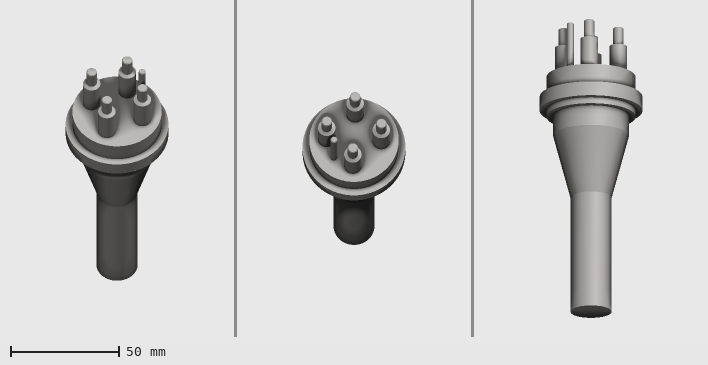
import cadquery as cq
import math

total_height = 137.1

cable_diameter = 19.0
barrel_diameter = 35.0
collar_diameter = 41.3
flange_diameter = 47.6

pin_length = 23.6
face_length = 9.5
flange_thickness = 6.7
collar_length = 2.9
barrel_length = 9.5
taper_length = 29.8

pin_circle_radius = 12.6
pin_count = 4
tip_diameter = 4.8
sleeve_diameter = 8.1
tip_length = 8.1
shoulder_height = 0.8
guide_diameter = 3.2
tip_chamfer = 0.4

face_z = total_height - pin_length
flange_top_z = face_z - face_length
flange_bottom_z = flange_top_z - flange_thickness
barrel_top_z = flange_bottom_z - collar_length
taper_top_z = barrel_top_z - barrel_length
cable_top_z = taper_top_z - taper_length


def revolve_profile(steps):
    """Revolve (diameter, height) steps around Z, closing the profile on the axis."""
    outline = [(diameter / 2, z) for diameter, z in steps]
    bottom_z = outline[0][1]
    top_z = outline[-1][1]
    points = [(0, bottom_z)] + outline + [(0, top_z)]
    return cq.Workplane("XZ").polyline(points).close().revolve(360, (0, 0, 0), (0, 1, 0))


def make_body():
    """Cable, tapered boot, barrel, flange and the face that carries the pins."""
    return revolve_profile([
        (cable_diameter, 0),
        (cable_diameter, cable_top_z),
        (barrel_diameter, taper_top_z),
        (barrel_diameter, barrel_top_z),
        (collar_diameter, barrel_top_z),
        (collar_diameter, flange_bottom_z),
        (flange_diameter, flange_bottom_z),
        (flange_diameter, flange_top_z),
        (collar_diameter, flange_top_z),
        (collar_diameter, face_z),
    ])


def make_contact_pin():
    """Chamfered pin in a sleeve that ends in a conical shoulder."""
    shoulder_top_z = total_height - tip_length
    return revolve_profile([
        (sleeve_diameter, face_z),
        (sleeve_diameter, shoulder_top_z - shoulder_height),
        (tip_diameter, shoulder_top_z),
        (tip_diameter, total_height - tip_chamfer),
        (tip_diameter - 2 * tip_chamfer, total_height),
    ])


def make_guide_pin():
    """Thin chamfered pin of the same length as the contact pins."""
    return revolve_profile([
        (guide_diameter, face_z),
        (guide_diameter, total_height - tip_chamfer),
        (guide_diameter - 2 * tip_chamfer, total_height),
    ])


result = make_body()

pin_step = 360 / pin_count
for index in range(pin_count):
    angle = math.radians(pin_step * (index + 0.5))
    x = pin_circle_radius * math.cos(angle)
    y = pin_circle_radius * math.sin(angle)
    result = result.union(make_contact_pin().translate((x, y, 0)))

result = result.union(make_guide_pin().translate((0, pin_circle_radius, 0)))